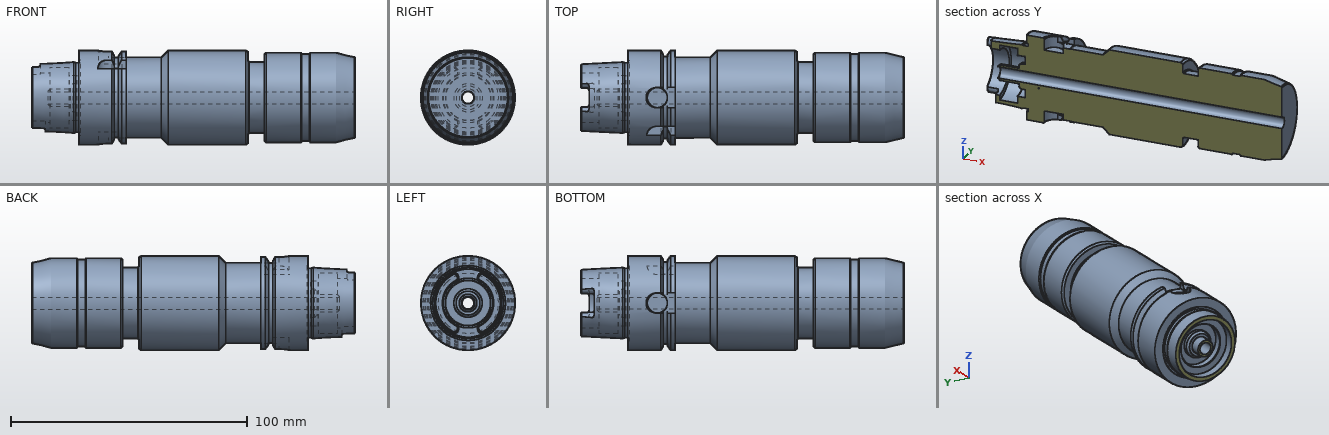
import cadquery as cq

total_length = 136.8
body_radius = 20.0

shank_radius = 15.0
shank_end = 17.8
shank_taper = 0.05
nose_radius = shank_radius - shank_taper * shank_end
nose_chamfer = 0.5
relief_start = 18.6
relief_radius = 14.8
flange_face = 20.0
face_recess_radius = 15.9
face_recess_depth = 0.5

flange_end = 40.0
groove_radius = 17.4
groove_wall_radius = 18.0
groove_start = 33.9
groove_floor_start = 35.0
groove_floor_end = 36.7
groove_end = 38.0

waist_radius = 17.1
cone_start = 54.9
cone_end = cone_start + body_radius - waist_radius
body_end = 91.5
body_chamfer_length = 1.1
body_chamfer_depth = 0.7

neck_radius = 15.0
neck_foot = 0.4
sleeve_radius = 19.0
sleeve_start = 98.2
sleeve_chamfer = 0.8
band_start = 113.8
band_end = 117.8
band_radius = 18.5
band_slope = 0.4
nose_cone_start = 128.6
tip_radius = 17.1
tip_chamfer = 0.4

mouth_radius = 21.8 / 2
clamp_radius = 21.0 / 2
mouth_chamfer = mouth_radius - clamp_radius
clamp_end = 7.7
chamber_radius = 12.7
chamber_end = 15.7
well_radius = 19.4 / 2
well_step_radius = 19.0 / 2
well_end = 19.2

through_radius = 5.0 / 2
tube_tip = 6.8
tube_tip_radius = 2.9
tube_radius = 7.5 / 2
tube_chamfer = 1.0
collar_start = 16.4
collar_radius = 6.0
collar_chamfer = 1.0

slot_width = 8.0
slot_flare_radius = 2.3
slot_flare_start = 10.7
top_slot_depth = 3.5
bottom_slot_depth = 5.7
slot_floor_fillet = 1.0
slot_mouth_chamfer = nose_chamfer
chamfer_angle = 45

pocket_x = 32.4
pocket_radius = 4.2
countersink_start = 19.4
pocket_floor = 14.4
keyway_width = 8.8
keyway_floor = 17.0
notch_x = 32.0
notch_corner_radius = 4.1
notch_floor = 12.2
notch_wall = notch_floor


def turned(points):
    """Revolve an outline of (x, radius) points about the X axis."""
    outline = cq.Workplane("XY").polyline(points).close()
    return outline.revolve(360, (0, 0, 0), (1, 0, 0))


def outer_body():
    """Complete outside shape, turned as one solid."""
    profile = (
        cq.Workplane("XY")
        .moveTo(0, 0)
        .lineTo(0, nose_radius - nose_chamfer)
        .lineTo(nose_chamfer, nose_radius)
        .lineTo(shank_end, shank_radius)
        .lineTo(relief_start, relief_radius)
        .lineTo(flange_face + face_recess_depth, relief_radius)
        .lineTo(flange_face + face_recess_depth, face_recess_radius)
        .lineTo(flange_face, face_recess_radius)
        .lineTo(flange_face, body_radius)
        .lineTo(groove_start, body_radius)
        .lineTo(groove_floor_start, groove_wall_radius)
        .lineTo(groove_floor_start, groove_radius)
        .lineTo(groove_floor_end, groove_radius)
        .lineTo(groove_floor_end, groove_wall_radius)
        .lineTo(groove_end, body_radius)
        .lineTo(flange_end, body_radius)
        .lineTo(flange_end, waist_radius)
        .lineTo(cone_start, waist_radius)
        .lineTo(cone_end, body_radius)
        .lineTo(body_end - body_chamfer_length, body_radius)
        .lineTo(body_end, body_radius - body_chamfer_depth)
        .lineTo(body_end, neck_radius + neck_foot)
        .lineTo(body_end + neck_foot, neck_radius)
        .lineTo(sleeve_start, neck_radius)
        .lineTo(sleeve_start, sleeve_radius - sleeve_chamfer)
        .lineTo(sleeve_start + sleeve_chamfer, sleeve_radius)
        .lineTo(band_start, sleeve_radius)
        .lineTo(band_start + band_slope, band_radius)
        .lineTo(band_end - band_slope, band_radius)
        .lineTo(band_end, sleeve_radius)
        .lineTo(nose_cone_start, sleeve_radius)
        .lineTo(total_length - tip_chamfer, tip_radius)
        .lineTo(total_length, tip_radius - tip_chamfer)
        .lineTo(total_length, 0)
        .close()
    )
    return profile.revolve(360, (0, 0, 0), (1, 0, 0))


def clamping_bore():
    """Cavity of the shank, including the space around the coolant tube."""
    well_chamfer = well_radius - well_step_radius
    return turned([
        (0, 0),
        (0, mouth_radius),
        (mouth_chamfer, clamp_radius),
        (clamp_end, clamp_radius),
        (clamp_end, chamber_radius),
        (chamber_end, chamber_radius),
        (chamber_end, well_radius),
        (chamber_end + well_chamfer, well_step_radius),
        (well_end, well_step_radius),
        (well_end, collar_radius),
        (collar_start + collar_chamfer, collar_radius),
        (collar_start, collar_radius - collar_chamfer),
        (collar_start, tube_radius),
        (tube_tip + tube_chamfer, tube_radius),
        (tube_tip, tube_tip_radius),
        (tube_tip, 0),
    ])


def slot_outline(half_width, flare_radius):
    """Slot section around the fixed centres of its flared outer edges."""
    flare_centre = slot_width / 2 + slot_flare_radius
    flare_end = slot_flare_start + flare_radius
    return (
        cq.Workplane("YZ")
        .moveTo(-half_width, 0)
        .lineTo(-half_width, slot_flare_start)
        .radiusArc((-flare_centre, flare_end), -flare_radius)
        .lineTo(-nose_radius, flare_end)
        .lineTo(-nose_radius, body_radius)
        .lineTo(nose_radius, body_radius)
        .lineTo(nose_radius, flare_end)
        .lineTo(flare_centre, flare_end)
        .radiusArc((half_width, slot_flare_start), -flare_radius)
        .lineTo(half_width, 0)
        .close()
    )


def drive_slot(depth):
    """Slot at the top of the shank mouth, with a rounded floor edge and a chamfered mouth."""
    half = slot_width / 2
    margin = slot_floor_fillet / 2
    wall_foot = cq.selectors.BoxSelector(
        (depth - margin, -half - margin, 0),
        (depth + margin, half + margin, slot_flare_start),
    )
    slot = slot_outline(half, slot_flare_radius).extrude(depth)
    slot = slot.edges(wall_foot).fillet(slot_floor_fillet)
    mouth = slot_outline(half + slot_mouth_chamfer, slot_flare_radius - slot_mouth_chamfer)
    return slot.union(mouth.extrude(slot_mouth_chamfer, taper=chamfer_angle))


def drive_pocket():
    """Round pocket in the top of the flange with a keyway running out of the flange end."""
    rim_chamfer = body_radius - countersink_start
    half_width = keyway_width / 2
    pocket = (
        cq.Workplane("XZ", origin=(pocket_x, 0, 0))
        .moveTo(0, pocket_floor)
        .lineTo(pocket_radius, pocket_floor)
        .lineTo(pocket_radius, countersink_start)
        .lineTo(pocket_radius + rim_chamfer, body_radius)
        .lineTo(0, body_radius)
        .close()
        .revolve(360, (0, 0, 0), (0, 1, 0))
    )
    keyway = cq.Workplane("XY", origin=(pocket_x, -half_width, keyway_floor)).box(
        flange_end - pocket_x, keyway_width, body_radius - keyway_floor, centered=False
    )
    return pocket.union(keyway)


def orientation_notch():
    """Square-cornered notch in the flange rim with a milled round end."""
    start = notch_x - notch_corner_radius
    return (
        cq.Workplane("XY", origin=(0, 0, notch_floor))
        .moveTo(flange_end, -notch_wall)
        .lineTo(notch_x, -notch_wall)
        .radiusArc((start, -notch_wall - notch_corner_radius), -notch_corner_radius)
        .lineTo(start, -body_radius)
        .lineTo(flange_end, -body_radius)
        .close()
        .extrude(body_radius - notch_floor)
    )


through_bore = turned([(0, 0), (0, through_radius), (total_length, through_radius), (total_length, 0)])
pocket = drive_pocket()

result = outer_body().cut(clamping_bore()).cut(through_bore)
result = result.cut(drive_slot(top_slot_depth))
result = result.cut(drive_slot(bottom_slot_depth).mirror("XY"))
result = result.cut(pocket).cut(pocket.mirror("XY")).cut(orientation_notch())